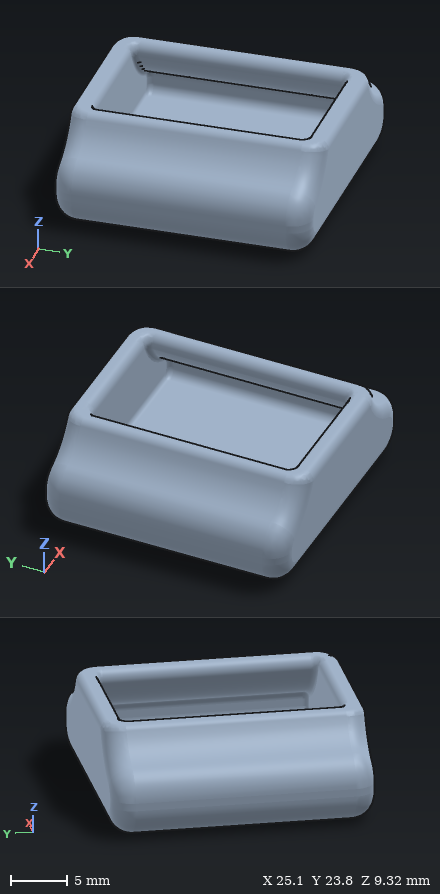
import cadquery as cq
import math

width = 25.1
length = 23.83
height = 9.32
wall = 2.0

flank_radius = 2.95
flank_top = 3.65
bulge_angle = 68.0
neck_radius = 5.52

end_fillet = 1.98
floor_fillet = 0.5
rim_fillet = 0.98


def polar(center, radius, angle):
    """Point at the given angle (degrees) on a circle."""
    turn = math.radians(angle)
    return (center[0] + radius * math.cos(turn), center[1] + radius * math.sin(turn))


def profile_prism(inset, depth):
    """Symmetric prism along Y whose side profile lies `inset` inside the outer surface."""
    bulge_center = (width / 2 - flank_radius, flank_top)
    neck_center = polar(bulge_center, flank_radius + neck_radius, bulge_angle)
    bulge = flank_radius - inset
    neck = neck_radius + inset
    neck_start = 180 + bulge_angle
    neck_end = 180 - math.degrees(math.asin((height - neck_center[1]) / neck))

    foot_center = (bulge_center[0], flank_radius)
    foot_start = (foot_center[0], inset)
    foot_mid = polar(foot_center, bulge, -45)
    foot_end = polar(foot_center, bulge, 0)
    flank_end = polar(bulge_center, bulge, 0)
    bulge_mid = polar(bulge_center, bulge, bulge_angle / 2)
    bulge_end = polar(bulge_center, bulge, bulge_angle)
    neck_mid = polar(neck_center, neck, (neck_start + neck_end) / 2)
    neck_top = polar(neck_center, neck, neck_end)

    half = (
        cq.Workplane("XZ")
        .moveTo(0, inset)
        .lineTo(*foot_start)
        .threePointArc(foot_mid, foot_end)
        .lineTo(*flank_end)
        .threePointArc(bulge_mid, bulge_end)
        .threePointArc(neck_mid, neck_top)
        .lineTo(0, height)
        .mirrorY()
    )
    return half.extrude(depth / 2, both=True)


body = profile_prism(0, length)
body = body.faces("<Y or >Y").edges("not(>Z)").fillet(end_fillet)

cavity = profile_prism(wall, length - 2 * wall)
cavity = cavity.faces("<Y or >Y").edges("not(>Z)").fillet(floor_fillet)
shell = body.cut(cavity)

result = shell.faces(">Z").edges().fillet(rim_fillet)